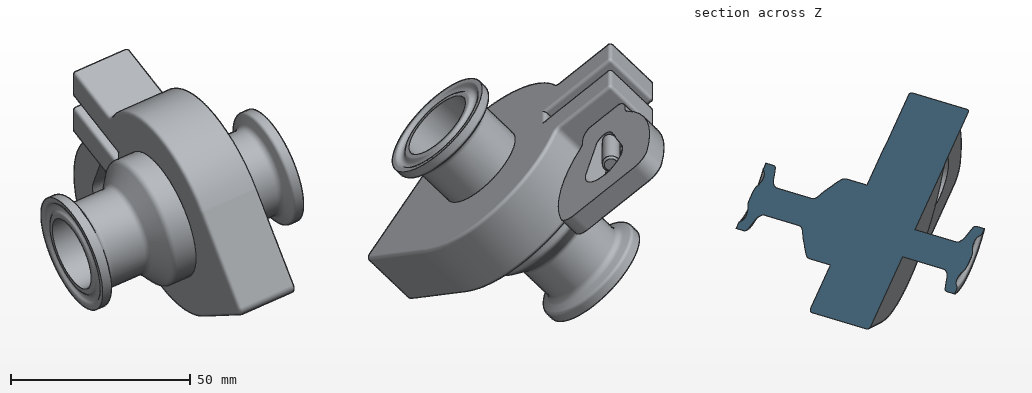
import math

import cadquery as cq


inlet_face_y = -38.0
outlet_face_y = 27.0
flange_radius = 17.0
flange_thickness = 3.0
flange_back_angle = math.radians(20)
flange_rim_round = 1.0
pipe_radius = 13.0
pipe_root_round = 2.0
bore_radius = 21.3 / 2

groove_centre_radius = 13.8
groove_arc_radius = 1.5
groove_depth = 1.1
groove_lip_round = 0.8

housing_radius = 19.0
housing_shoulder_y = -15.9
housing_cone_end_y = -20.8
housing_round = 2.0

clamp_width = 18.0
clamp_radius = 31.0
clamp_edge_round = 1.0
tip_round = 2.0
neck_round = 2.0
arm_end_x = -49.0
arm_half_height = 12.5
slot_end_x = -24.25
slot_half_height = 2.5

pin_x = -41.0
pin_radius = 2.5
pin_top_z = (arm_half_height + slot_half_height) / 2
pin_bottom_z = -36.0
pin_chamfer = 0.6

tag_thickness = 6.0
tag_top_z = -11.7
tag_bottom_z = -54.9
tag_neck_half_width = 8.0
tag_top_round = 5.0
tag_neck_round = 3.5
tag_bottom_round = 5.0
tag_half_width = 17.25
tag_side_radius = 35.0
tag_side_centre_z = -42.9

window_top_radius = 3.0
window_top_z = -22.9
window_bottom_radius = 7.0
window_bottom_z = -45.8


def rounded_outline(corners):
    """Closed wire through (x, y, radius) corners; a radius of zero leaves the corner sharp."""
    wire = None
    for index, (x, y, radius) in enumerate(corners):
        corner = cq.Vector(x, y)
        before = cq.Vector(*corners[index - 1][:2])
        after = cq.Vector(*corners[(index + 1) % len(corners)][:2])
        to_before = (before - corner).normalized()
        to_after = (after - corner).normalized()
        half_angle = to_before.getAngle(to_after) / 2
        setback = radius / math.tan(half_angle)
        start = corner + to_before * setback
        wire = cq.Workplane("XY").moveTo(start.x, start.y) if wire is None else wire.lineTo(start.x, start.y)
        if radius > 0:
            bisector = (to_before + to_after).normalized()
            middle = corner + bisector * (radius / math.sin(half_angle) - radius)
            end = corner + to_after * setback
            wire = wire.threePointArc((middle.x, middle.y), (end.x, end.y))
    return wire.close()


def revolve_about_y(outline):
    return outline.revolve(360, (0, 0, 0), (0, 1, 0))


def make_ferrule(pipe_end):
    """Flanged pipe with its face at Y = 0, running toward +Y through the outer corners in pipe_end."""
    cone_rise = (flange_radius - pipe_radius) * math.tan(flange_back_angle)
    length = pipe_end[-1][1]
    ferrule = revolve_about_y(
        rounded_outline(
            [
                (bore_radius, 0, 0),
                (flange_radius, 0, 0),
                (flange_radius, flange_thickness, flange_rim_round),
                (pipe_radius, flange_thickness + cone_rise, pipe_root_round),
                *pipe_end,
                (bore_radius, length, 0),
            ]
        )
    )
    groove_centre_y = groove_depth - groove_arc_radius
    groove = revolve_about_y(
        cq.Workplane("XY").moveTo(groove_centre_radius, groove_centre_y).circle(groove_arc_radius)
    )
    ferrule = ferrule.cut(groove)
    lips = cq.selectors.RadiusNthSelector(1) + cq.selectors.RadiusNthSelector(2)
    return ferrule.faces("<Y").edges(lips).fillet(groove_lip_round)


def make_clamp():
    """Round body with a tangent 90 degree point on one side and two slotted arms on the other."""
    tangent = clamp_radius * math.sin(math.radians(45))
    tip_x = clamp_radius * math.sqrt(2)
    neck_x = -math.sqrt(clamp_radius**2 - arm_half_height**2)
    clamp = (
        cq.Workplane("XZ")
        .moveTo(slot_end_x, slot_half_height)
        .lineTo(arm_end_x, slot_half_height)
        .lineTo(arm_end_x, arm_half_height)
        .lineTo(neck_x, arm_half_height)
        .threePointArc((0, clamp_radius), (tangent, tangent))
        .lineTo(tip_x, 0)
        .lineTo(tangent, -tangent)
        .threePointArc((0, -clamp_radius), (neck_x, -arm_half_height))
        .lineTo(arm_end_x, -arm_half_height)
        .lineTo(arm_end_x, -slot_half_height)
        .lineTo(slot_end_x, -slot_half_height)
        .close()
        .extrude(clamp_width / 2, both=True)
    )
    clamp = clamp.edges("|Y").edges(">X").fillet(tip_round)
    for neck_z in (arm_half_height, -arm_half_height):
        clamp = clamp.edges(cq.selectors.NearestToPointSelector((neck_x, 0, neck_z))).fillet(neck_round)
    clamp = clamp.faces("<X").edges("|Y").fillet(clamp_edge_round)
    return clamp.faces("<Y or >Y").edges().fillet(clamp_edge_round)


def make_pin():
    return (
        cq.Workplane("XY", origin=(pin_x, 0, pin_bottom_z))
        .circle(pin_radius)
        .extrude(pin_top_z - pin_bottom_z)
        .faces("<Z")
        .chamfer(pin_chamfer)
    )


def make_window():
    """Teardrop prism: two circles joined by their outer tangents."""
    top_centre_z = window_top_z - window_top_radius
    bottom_centre_z = window_bottom_z + window_bottom_radius
    taper = math.asin((window_bottom_radius - window_top_radius) / (top_centre_z - bottom_centre_z))
    top_x = window_top_radius * math.cos(taper)
    top_z = top_centre_z + window_top_radius * math.sin(taper)
    bottom_x = window_bottom_radius * math.cos(taper)
    bottom_z = bottom_centre_z + window_bottom_radius * math.sin(taper)
    return (
        cq.Workplane("XZ", origin=(pin_x, 0, 0))
        .moveTo(-top_x, top_z)
        .threePointArc((0, window_top_z), (top_x, top_z))
        .lineTo(bottom_x, bottom_z)
        .threePointArc((0, window_bottom_z), (-bottom_x, bottom_z))
        .close()
        .extrude(tag_thickness / 2, both=True)
    )


def make_tag():
    """Flat handle with a narrow neck, bulging sides and a teardrop window."""
    side_centre_x = tag_half_width - tag_side_radius
    shoulder_z = tag_side_centre_z + math.sqrt(tag_side_radius**2 - (tag_neck_half_width - side_centre_x) ** 2)
    bottom_x = side_centre_x + math.sqrt(tag_side_radius**2 - (tag_bottom_z - tag_side_centre_z) ** 2)
    tag = (
        cq.Workplane("XZ", origin=(pin_x, 0, 0))
        .moveTo(-tag_neck_half_width, tag_top_z)
        .lineTo(tag_neck_half_width, tag_top_z)
        .lineTo(tag_neck_half_width, shoulder_z)
        .threePointArc((tag_half_width, tag_side_centre_z), (bottom_x, tag_bottom_z))
        .lineTo(-bottom_x, tag_bottom_z)
        .threePointArc((-tag_half_width, tag_side_centre_z), (-tag_neck_half_width, shoulder_z))
        .close()
        .extrude(tag_thickness / 2, both=True)
    )
    corner_rounds = [
        (tag_neck_half_width, tag_top_z, tag_top_round),
        (tag_neck_half_width, shoulder_z, tag_neck_round),
        (bottom_x, tag_bottom_z, tag_bottom_round),
    ]
    for half_width, corner_z, radius in corner_rounds:
        for side in (-1, 1):
            corner = (pin_x + side * half_width, 0, corner_z)
            tag = tag.edges(cq.selectors.NearestToPointSelector(corner)).fillet(radius)
    return tag.cut(make_window())


inlet_length = -clamp_width / 2 - inlet_face_y
inlet_with_housing = make_ferrule(
    [
        (pipe_radius, housing_cone_end_y - inlet_face_y, housing_round),
        (housing_radius, housing_shoulder_y - inlet_face_y, housing_round),
        (housing_radius, inlet_length, 0),
    ]
).translate((0, inlet_face_y, 0))

outlet_length = outlet_face_y - clamp_width / 2
outlet = (
    make_ferrule([(pipe_radius, outlet_length, 0)])
    .rotate((0, 0, 0), (0, 0, 1), 180)
    .translate((0, outlet_face_y, 0))
)

result = make_clamp().union(inlet_with_housing).union(outlet).union(make_tag()).union(make_pin())